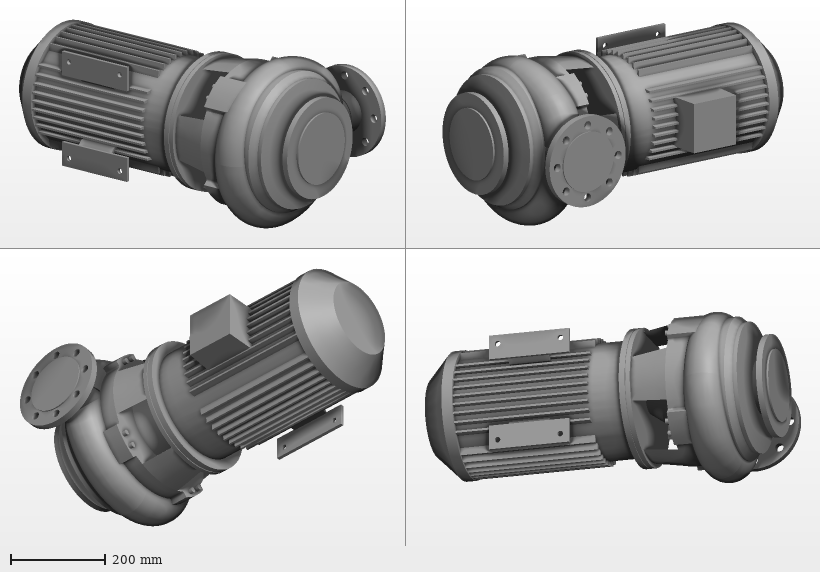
import cadquery as cq
import math


cover_face_dia = 170.0
cover_dia = 278.5
cover_cone_end = 53.0
cover_end = 77.0
motor_dia = 252.0
fin_end = 375.0
fin_tip_dia = 273.0
fin_root_thickness = 7.5
fin_tip_thickness = 4.5
outer_fin_offset = 74.5
fins_per_side = 9

box_x = 256.0
box_base_length = 115.0
box_top_length = 110.0
box_width = 109.0
box_top_y = 188.0

foot_x_start = 156.0
foot_length = 177.5
foot_inner_z = 74.5
foot_outer_z = 127.5
foot_outer_y = -133.0
foot_thickness = 7.5
foot_hole_dia = 12.0
foot_hole_spacing = 139.0
foot_hole_z = 108.0
bracket_length = 89.5
bracket_x_start = 196.5
bracket_slope = 10.0
bracket_root_y = -99.0
bracket_top_z = 77.0

flange_start = 449.0
flange_dia = 300.0
flange_gap_dia = 296.0
flange_gap_start = 462.0
flange_gap_width = 1.5
lantern_start = 473.5
casing_start = 553.0
casing_dia = 308.0
arm_outer_radius = 140.5
arm_start_inner_z = 131.0
arm_end_inner_z = 143.0
arm_start_width = 99.0
arm_end_width = 117.0
hub_start_radius = 36.0
hub_end_radius = 90.0

casing_end = 684.0
cover_plate_dia = 282.0
cover_plate_start = 698.0
cover_plate_end = 708.0
suction_dia = 118.5
suction_pipe_start = 718.0
dome_bulge_x = 714.0
dome_bulge_radius = 99.0

lug_outer_radius = 167.0
lug_tip_half_angle = 13.5
lug_side_foot_radius = 159.0
lug_side_foot_half_angle = 14.2
lug_root_half_angle = 16.8
lug_fillet_radius = 155.0
lug_fillet_half_angle = 15.0
lug_end = 639.0
bolt_dia = 12.0
bolt_head = 9.0
bolt_circle_radius = 155.0
bolt_half_angle = 5.4

volute_x = 634.0
discharge_pipe_dia = 92.5
discharge_pipe_start = 197.0
tube_dia = 89.0
tube_radius = tube_dia / 2
volute_outer_bottom = 196.5
volute_low_centre_z = -18.0
volute_high_centre_y = 11.0
volute_top_centre_z = -59.0
volute_top_end_angle = 54
elbow_radius = 90.0

discharge_flange_dia = 200.0
discharge_flange_start = 231.0
discharge_flange_end = 247.0
discharge_end = 250.0
discharge_face_dia = 132.0
discharge_bolt_circle = 160.0
discharge_hole_dia = 18.0
discharge_hole_count = 8

suction_flange_dia = 220.0
suction_flange_start = 741.5
suction_flange_end = 754.5
suction_end = 759.0
suction_face_dia = 156.0

SIDE_ANGLES = (0, 90, 180, 270)
DIAGONAL_ANGLES = (45, 135, 225, 315)


def x_cylinder(diameter, start, end):
    return cq.Workplane("YZ").workplane(offset=start).circle(diameter / 2).extrude(end - start)


def y_cylinder(diameter, start, end):
    plane = cq.Plane(origin=(volute_x, start, 0), xDir=(1, 0, 0), normal=(0, 1, 0))
    return cq.Workplane(plane).circle(diameter / 2).extrude(end - start)


def x_revolve(outline):
    return outline.close().revolve(360, (0, 0, 0), (1, 0, 0))


def about_shaft(shape, angle):
    return shape.rotate((0, 0, 0), (1, 0, 0), angle)


def polar(radius, angle):
    radians = math.radians(angle)
    return radius * math.cos(radians), radius * math.sin(radians)


def make_fan_cover():
    return x_revolve(
        cq.Workplane("XY")
        .lineTo(0, cover_face_dia / 2)
        .lineTo(cover_cone_end, cover_dia / 2)
        .lineTo(cover_end, cover_dia / 2)
        .lineTo(cover_end, 0)
    )


def make_fins():
    """Parallel tapered fins, whose flat tips step along a common cylinder."""
    half_root = fin_root_thickness / 2
    half_tip = fin_tip_thickness / 2
    pitch = 2 * outer_fin_offset / (fins_per_side - 1)
    side = cq.Workplane("YZ").workplane(offset=cover_end)
    for i in range(fins_per_side):
        y = i * pitch - outer_fin_offset
        root_z = math.sqrt((motor_dia / 2) ** 2 - (abs(y) + half_root) ** 2)
        tip_z = math.sqrt((fin_tip_dia / 2) ** 2 - y ** 2)
        side = side.polyline([
            (y - half_root, root_z),
            (y - half_tip, tip_z),
            (y + half_tip, tip_z),
            (y + half_root, root_z),
        ]).close()
    side = side.extrude(fin_end - cover_end)
    fins = x_cylinder(motor_dia, cover_end, fin_end)
    for angle in SIDE_ANGLES:
        fins = fins.union(about_shaft(side, angle))
    return fins


def make_terminal_box():
    half_base = box_base_length / 2
    half_top = box_top_length / 2
    return (
        cq.Workplane("XY")
        .workplane(offset=-box_width / 2)
        .polyline([
            (box_x - half_base, 0),
            (box_x - half_base, motor_dia / 2),
            (box_x - half_top, box_top_y),
            (box_x + half_top, box_top_y),
            (box_x + half_base, motor_dia / 2),
            (box_x + half_base, 0),
        ])
        .close()
        .extrude(box_width)
    )


def make_upper_foot():
    foot_inner_y = foot_outer_y + foot_thickness
    plate = (
        cq.Workplane("XY")
        .box(foot_length, foot_thickness, foot_outer_z - foot_inner_z, centered=False)
        .translate((foot_x_start, foot_outer_y, foot_inner_z))
    )
    foot_mid_x = foot_x_start + foot_length / 2
    for side in (-1, 1):
        plane = cq.Plane(
            origin=(foot_mid_x + side * foot_hole_spacing / 2, foot_outer_y, foot_hole_z),
            xDir=(1, 0, 0),
            normal=(0, 1, 0),
        )
        plate = plate.cut(cq.Workplane(plane).circle(foot_hole_dia / 2).extrude(foot_thickness))
    bracket = (
        cq.Workplane("YZ")
        .workplane(offset=bracket_x_start)
        .polyline([
            (foot_inner_y, foot_inner_z),
            (foot_inner_y + bracket_slope, foot_inner_z - bracket_slope),
            (bracket_root_y, foot_inner_z - bracket_slope),
            (bracket_root_y, bracket_top_z),
            (foot_inner_y, bracket_top_z),
        ])
        .close()
        .extrude(bracket_length)
    )
    return plate.union(bracket)


def make_motor():
    foot = make_upper_foot()
    return (
        make_fan_cover()
        .union(x_cylinder(motor_dia, cover_end, flange_start))
        .union(make_fins())
        .union(make_terminal_box())
        .union(foot)
        .union(foot.mirror("XY"))
    )


def make_flange_pair():
    gap_end = flange_gap_start + flange_gap_width
    return (
        x_cylinder(flange_dia, flange_start, flange_gap_start)
        .union(x_cylinder(flange_gap_dia, flange_gap_start, gap_end))
        .union(x_cylinder(flange_dia, gap_end, lantern_start))
    )


def make_lantern():
    """Four flaring arms, flat inside and conical outside, around a conical bearing hub."""
    cone = x_revolve(
        cq.Workplane("XY")
        .moveTo(lantern_start, 0)
        .lineTo(lantern_start, arm_outer_radius)
        .lineTo(casing_start, casing_dia / 2)
        .lineTo(casing_start, 0)
    )
    arm_face = (
        cq.Workplane("XY")
        .polyline([
            (lantern_start, -arm_start_width / 2),
            (casing_start, -arm_end_width / 2),
            (casing_start, arm_end_width / 2),
            (lantern_start, arm_start_width / 2),
        ])
        .close()
        .extrude(casing_dia)
    )
    arm_side = (
        cq.Workplane("XZ")
        .polyline([
            (lantern_start, arm_start_inner_z),
            (casing_start, arm_end_inner_z),
            (casing_start, casing_dia),
            (lantern_start, casing_dia),
        ])
        .close()
        .extrude(casing_dia / 2, both=True)
    )
    arm = cone.intersect(arm_face).intersect(arm_side)
    lantern = x_revolve(
        cq.Workplane("XY")
        .moveTo(lantern_start, 0)
        .lineTo(lantern_start, hub_start_radius)
        .lineTo(casing_start, hub_end_radius)
        .lineTo(casing_start, 0)
    )
    for angle in SIDE_ANGLES:
        lantern = lantern.union(about_shaft(arm, angle))
    return lantern


def make_casing():
    return x_revolve(
        cq.Workplane("XY")
        .moveTo(casing_start, 0)
        .lineTo(casing_start, casing_dia / 2)
        .lineTo(casing_end, casing_dia / 2)
        .lineTo(cover_plate_start, cover_plate_dia / 2)
        .lineTo(cover_plate_end, cover_plate_dia / 2)
        .threePointArc((dome_bulge_x, dome_bulge_radius), (suction_pipe_start, suction_dia / 2))
        .lineTo(suction_pipe_start, 0)
    )


def make_lug(angle):
    """Bolting lug centred on the given angle about the shaft, with two bolt heads."""
    root_radius = casing_dia / 2
    lug = (
        cq.Workplane("YZ")
        .workplane(offset=casing_start)
        .lineTo(*polar(root_radius, -lug_root_half_angle))
        .threePointArc(
            polar(lug_fillet_radius, -lug_fillet_half_angle),
            polar(lug_side_foot_radius, -lug_side_foot_half_angle),
        )
        .lineTo(*polar(lug_outer_radius, -lug_tip_half_angle))
        .threePointArc((lug_outer_radius, 0), polar(lug_outer_radius, lug_tip_half_angle))
        .lineTo(*polar(lug_side_foot_radius, lug_side_foot_half_angle))
        .threePointArc(
            polar(lug_fillet_radius, lug_fillet_half_angle),
            polar(root_radius, lug_root_half_angle),
        )
        .close()
        .extrude(lug_end - casing_start)
    )
    for side in (-1, 1):
        y, z = polar(bolt_circle_radius, side * bolt_half_angle)
        bolt = x_cylinder(bolt_dia, casing_start - bolt_head, casing_start)
        lug = lug.union(bolt.translate((0, y, z)))
    return about_shaft(lug, angle)


def tube_arc(centre, radius, start_angle, end_angle):
    """Length of volute tube bent about an X-parallel line through centre (y, z)."""
    y, z = polar(radius, start_angle)
    start = (volute_x, centre[0] + y, centre[1] + z)
    plane = cq.Plane(origin=start, xDir=(1, 0, 0), normal=(0, -z, y))
    pivot = (0, -radius)
    if plane.toLocalCoords(cq.Vector(volute_x, *centre)).y > 0:
        pivot = (0, radius)
    return (
        cq.Workplane(plane)
        .circle(tube_radius)
        .revolve(end_angle - start_angle, pivot, (pivot[0] + 1, pivot[1]))
    )


def make_volute():
    """Constant-section tube along tangent arcs that open out towards the discharge."""
    large_radius = volute_outer_bottom - tube_radius
    low_radius = large_radius + volute_low_centre_z
    high_radius = low_radius + volute_high_centre_y
    top_radius = high_radius + volute_low_centre_z - volute_top_centre_z
    top_centre = (volute_high_centre_y, volute_top_centre_z)
    step_y, step_z = polar(top_radius - elbow_radius, volute_top_end_angle)
    elbow_centre = (top_centre[0] + step_y, top_centre[1] + step_z)
    return (
        tube_arc(elbow_centre, elbow_radius, 0, volute_top_end_angle)
        .union(tube_arc(top_centre, top_radius, volute_top_end_angle, 90))
        .union(tube_arc((volute_high_centre_y, volute_low_centre_z), high_radius, 90, 180))
        .union(tube_arc((0, volute_low_centre_z), low_radius, 180, 270))
        .union(tube_arc((0, 0), large_radius, 270, 360))
    )


def make_discharge():
    flange = y_cylinder(discharge_flange_dia, discharge_flange_start, discharge_flange_end)
    for i in range(discharge_hole_count):
        angle = i * 360 / discharge_hole_count
        x, z = polar(discharge_bolt_circle / 2, angle)
        hole = y_cylinder(discharge_hole_dia, discharge_flange_start, discharge_flange_end)
        flange = flange.cut(hole.translate((x, 0, z)))
    return (
        y_cylinder(tube_dia, casing_dia / 2 - tube_radius, discharge_pipe_start)
        .union(y_cylinder(discharge_pipe_dia, discharge_pipe_start, discharge_flange_start))
        .union(flange)
        .union(y_cylinder(discharge_face_dia, discharge_flange_end, discharge_end))
    )


def make_suction():
    return (
        x_cylinder(suction_dia, suction_pipe_start, suction_flange_start)
        .union(x_cylinder(suction_flange_dia, suction_flange_start, suction_flange_end))
        .union(x_cylinder(suction_face_dia, suction_flange_end, suction_end))
    )


pump = make_casing().union(make_volute()).union(make_discharge()).union(make_suction())
for lug_angle in DIAGONAL_ANGLES:
    pump = pump.union(make_lug(lug_angle))

result = make_motor().union(make_flange_pair()).union(make_lantern()).union(pump)